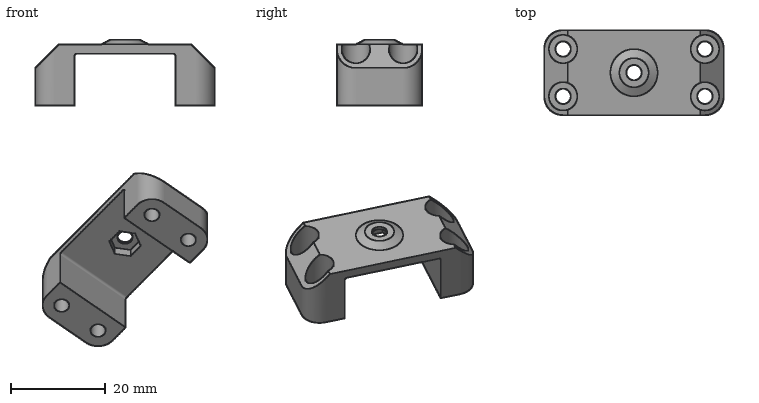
import cadquery as cq

length = 38.0
width = 18.0
height = 14.0
boss_height = 1.0
body_height = height - boss_height
corner_radius = 4.0
end_chamfer = 5.0

channel_width = 21.3
plate_thickness = 2.0
channel_fillet = 0.5

boss_base_diameter = 10.0
boss_top_diameter = 6.2

nut_across_corners = 6.73
nut_roof_thickness = 0.7

hole_diameter = 3.2
hole_spacing_x = 30.0
hole_spacing_y = 10.0
counterbore_diameter = 6.0
counterbore_floor = 5.0


def make_body():
    """Block with rounded vertical corners and sloped upper ends."""
    block = cq.Workplane("XY").box(length, width, body_height, centered=(True, True, False))
    rounded = block.edges("|Z").fillet(corner_radius)
    half_length = length / 2
    half_top = half_length - end_chamfer
    shoulder = body_height - end_chamfer
    profile = (
        cq.Workplane("XZ")
        .moveTo(-half_length, 0)
        .lineTo(half_length, 0)
        .lineTo(half_length, shoulder)
        .lineTo(half_top, body_height)
        .lineTo(-half_top, body_height)
        .lineTo(-half_length, shoulder)
        .close()
        .extrude(width / 2, both=True)
    )
    return rounded.intersect(profile)


def make_channel():
    """Full-width opening under the top plate, with small fillets at its roof."""
    channel_height = body_height - plate_thickness
    block = cq.Workplane("XY").box(channel_width, width, channel_height, centered=(True, True, False))
    return block.edges("|Y and >Z").fillet(channel_fillet)


def make_boss():
    """Shallow cone standing on the top plate."""
    return (
        cq.Workplane("XY", origin=(0, 0, body_height))
        .circle(boss_base_diameter / 2)
        .workplane(offset=boss_height)
        .circle(boss_top_diameter / 2)
        .loft()
    )


def make_screw_holes():
    """Four through holes with counterbores open at the top."""
    holes = (
        cq.Workplane("XY")
        .rarray(hole_spacing_x, hole_spacing_y, 2, 2)
        .circle(hole_diameter / 2)
        .extrude(height)
    )
    counterbores = (
        cq.Workplane("XY", origin=(0, 0, counterbore_floor))
        .rarray(hole_spacing_x, hole_spacing_y, 2, 2)
        .circle(counterbore_diameter / 2)
        .extrude(height - counterbore_floor)
    )
    return holes.union(counterbores)


def make_boss_hole():
    """Round hole down the boss axis, widening to the nut pocket just below its top."""
    hole = cq.Workplane("XY").circle(hole_diameter / 2).extrude(height)
    nut_pocket = (
        cq.Workplane("XY")
        .polygon(6, nut_across_corners)
        .extrude(height - nut_roof_thickness)
    )
    return hole.union(nut_pocket)


result = (
    make_body()
    .cut(make_channel())
    .union(make_boss())
    .cut(make_screw_holes())
    .cut(make_boss_hole())
)